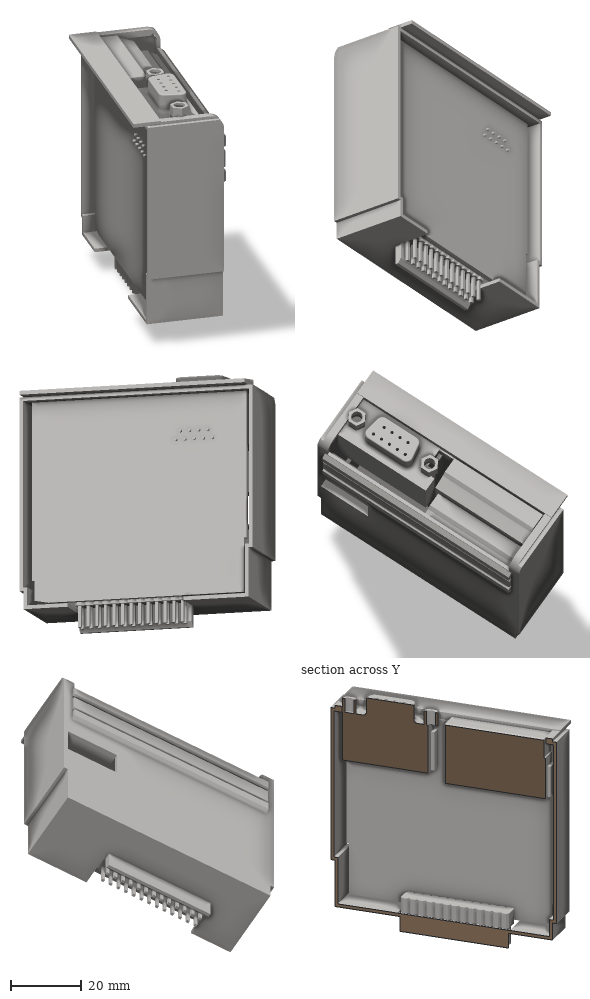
import cadquery as cq
import math


case_width = 69.2
case_depth = 22.5
wall = 1.1
back_wall = 1.0
side_top = 61.3
flange_top = 62.2
flange_bottom = side_top - wall
step_in = 1.2
left_step_z = 5.25
right_step_z = 14.3
outer_bend = 3.7
inner_bend = 1.9

half_width = case_width / 2
narrow_half = half_width - step_in

ledge_depth = 8.2
ledge_back = 18.3
ledge_thickness = 1.15
ledge_top = side_top + ledge_thickness

window_half_width = 31.1
window_bottom = 56.2

dimple_diameter = 1.15
dimple_depth = 1.3
dimple_y = -2.1
dimple_z = 60.25

rib_half_width = 32.0
rib_tall = 1.35
rib_low = 1.1
rib_middle_z = 48.0
rib_middle_height = 5.6
rib_outer_offset = 3.65
rib_outer_height = 4.2
rib_steep_bevel = 1.1
rib_soft_bevel = 0.3

slot_left = 17.2
slot_right = 33.35
slot_bottom = 24.7
slot_top = 33.5
boss_depth = 6.45
upper_boss_top = 38.0
lower_boss_bottom = 23.7
lower_boss_top = 24.2

board_back = 17.8
board_thickness = 1.6
board_half_width = 31.85
board_bottom = 2.1
board_notch = 0.8
board_left_step_z = 8.6
board_right_step_z = 17.7
board_corner_width = 4.0
board_corner_height = 0.8
board_front = board_back + board_thickness

terminal_bottom = 43.25
upper_left = -30.8
upper_right = -0.4
upper_top = 61.7
upper_back = 8.0
upper_flat_back = 12.9
lower_left = -window_half_width
lower_right = -1.4
lower_top = 55.9
lower_flat_back = 3.9
lip_run = 1.1
lip_drop = 0.9
slope_angle = 20.0
key_left = -32.05
key_top = 52.65
key_depth = 3.6

dsub_x = 16.4
dsub_back = 7.75
dsub_front = 15.7
dsub_top = 66.0
dsub_wide_half = 8.2
dsub_slant = 10.0
dsub_corner = 1.9
dsub_rim = 0.35
collar_flare = 1.0
rear_contacts = 5
front_contacts = 4
contact_pitch = 2.7
contact_diameter = 0.9
contact_depth = 3.6
rear_contact_y = -9.7
front_contact_y = -13.05

housing_top = 60.55
housing_bottom = 45.55
housing_front = ledge_back
housing_left = 1.1
housing_right = window_half_width
housing_back = 5.45
tab_front = 9.9
tab_left = 2.15
tab_step_front = 11.9
housing_front_left = 4.8
foot_left = 3.7
foot_back = 15.05
foot_top = 57.4

post_spacing = 24.95
post_positions = (dsub_x - post_spacing / 2, dsub_x + post_spacing / 2)
post_y = -11.6
post_top = 64.8
post_flats = 4.65
post_hole = 3.2

solder_lower_z = 47.2
solder_upper_z = 49.65
solder_diameter = 0.8
solder_length = 0.85

header_columns = 13
header_span = 30.5
header_pitch = header_span / (header_columns - 1)
header_x = -3.15
header_top = 5.75
header_base_bottom = 1.15
header_base_back = 12.8
header_column_chamfer = 0.65
tongue_thickness = 2.0
tongue_half_width = 16.7
tongue_bottom = -5.75
tongue_chamfer_run = 1.0
tongue_chamfer_rise = 1.5
header_pin_side = 0.85
header_pin_bottom = -5.0
header_pin_rows = (-14.05, -16.65)
header_gap = 0.5


def box(x0, x1, y0, y1, z0, z1):
    """Box between the given lower and upper limits along each axis."""
    return cq.Workplane("XY").box(x1 - x0, y1 - y0, z1 - z0, centered=False).translate((x0, y0, z0))


def prism_along_x(points, x0, x1):
    """Prism from x0 to x1 with the given (y, z) outline."""
    return cq.Workplane("YZ").workplane(offset=x0).polyline(points).close().extrude(x1 - x0)


def slab(points, back, front):
    """Plate with the given (x, z) outline, between two distances in front of the back face."""
    return cq.Workplane("XZ").workplane(offset=back).polyline(points).close().extrude(front - back)


def stepped_outline(inset, top):
    """Stepped front outline of the side and bottom walls, shrunk by inset."""
    wide = half_width - inset
    narrow = narrow_half - inset
    return [
        (-wide, top),
        (-wide, left_step_z + inset),
        (-narrow, left_step_z + inset),
        (-narrow, inset),
        (narrow, inset),
        (narrow, right_step_z + inset),
        (wide, right_step_z + inset),
        (wide, top),
    ]


def make_shell():
    """Open-fronted box with rounded bends where the back meets the top."""
    outside = slab(stepped_outline(0, side_top), 0, case_depth)
    outside = outside.union(box(-narrow_half, narrow_half, -case_depth, 0, side_top - wall, flange_top))
    bent_profile = box(-half_width, half_width, -case_depth, 0, 0, flange_top)
    outside = outside.intersect(bent_profile.edges("|X and >Y and >Z").fillet(outer_bend))
    cavity = slab(stepped_outline(wall, flange_bottom), back_wall, case_depth)
    return outside.cut(cavity.edges("|X and >Y and >Z").fillet(inner_bend))


def make_outer_rib(direction):
    """Tall grip rib above (+1) or below (-1) the middle one, steeper on its far side."""
    near = rib_middle_z + direction * rib_outer_offset
    far = near + direction * rib_outer_height
    points = [
        (0, near + direction * rib_soft_bevel),
        (rib_tall / 2, near),
        (rib_tall, near + direction * rib_soft_bevel),
        (rib_tall, far - direction * rib_steep_bevel),
        (0, far),
    ]
    return prism_along_x(points, -rib_half_width, rib_half_width)


def make_middle_rib():
    """Lower grip rib with small bevels on both sides."""
    bottom = rib_middle_z - rib_middle_height / 2
    top = rib_middle_z + rib_middle_height / 2
    points = [
        (0, bottom),
        (rib_low, bottom + rib_soft_bevel),
        (rib_low, top - rib_soft_bevel),
        (0, top),
    ]
    return prism_along_x(points, -rib_half_width, rib_half_width)


def make_tongue():
    """Keying tongue below the bottom wall, chamfered along its front lower edge."""
    front = -header_base_back
    back = front + tongue_thickness
    points = [
        (front, wall),
        (front, tongue_bottom + tongue_chamfer_rise),
        (front + tongue_chamfer_run, tongue_bottom),
        (back, tongue_bottom),
        (back, wall),
    ]
    return prism_along_x(points, header_x - tongue_half_width, header_x + tongue_half_width)


def make_casing():
    casing = make_shell()

    ledge_front = ledge_back + ledge_depth
    casing = casing.union(box(-narrow_half, narrow_half, -ledge_front, -ledge_back, side_top, ledge_top))

    casing = casing.cut(
        box(-window_half_width, window_half_width, -ledge_back, 0, window_bottom, flange_top)
    )

    dimples = (
        cq.Workplane("YZ")
        .center(dimple_y, dimple_z)
        .circle(dimple_diameter / 2)
        .extrude(window_half_width + dimple_depth, both=True)
    )
    casing = casing.cut(dimples)

    boss_right = half_width - wall
    for bottom, top in ((slot_top, upper_boss_top), (lower_boss_bottom, lower_boss_top)):
        casing = casing.union(box(slot_left, boss_right, -boss_depth, -back_wall, bottom, top))
    casing = casing.cut(box(slot_left, slot_right, -back_wall, 0, slot_bottom, slot_top))

    casing = casing.union(make_middle_rib())
    for direction in (1, -1):
        casing = casing.union(make_outer_rib(direction))

    opening_half = tongue_half_width + header_gap
    casing = casing.cut(
        box(header_x - opening_half, header_x + opening_half, -case_depth, -header_base_back, 0, wall)
    )
    casing = casing.union(make_tongue())

    return casing.cut(hex_prism(post_positions[1]))


def make_board():
    """Bare board with stepped sides and one sloped bottom corner."""
    narrow = board_half_width - board_notch
    points = [
        (-board_half_width, flange_bottom),
        (-board_half_width, board_left_step_z),
        (-narrow, board_left_step_z),
        (-narrow, board_bottom + board_corner_height),
        (-narrow + board_corner_width, board_bottom),
        (narrow, board_bottom),
        (narrow, board_right_step_z),
        (board_half_width, board_right_step_z),
        (board_half_width, flange_bottom),
    ]
    return slab(points, board_back, board_front)


def make_terminal(left, right, top, flat_back, back):
    """Terminal block: flat top, then a steep lip and a gentle slope falling toward the back."""
    slope_front = flat_back - lip_run
    slope_drop = (slope_front - back) * math.tan(math.radians(slope_angle))
    points = [
        (-board_back, terminal_bottom),
        (-board_back, top),
        (-flat_back, top),
        (-slope_front, top - lip_drop),
        (-back, top - lip_drop - slope_drop),
        (-back, terminal_bottom),
    ]
    return prism_along_x(points, left, right)


def make_terminals():
    upper = make_terminal(upper_left, upper_right, upper_top, upper_flat_back, upper_back)
    lower = make_terminal(lower_left, lower_right, lower_top, lower_flat_back, back_wall)
    key = box(key_left, lower_left, -board_back, key_depth - board_back, terminal_bottom, key_top)
    return upper.union(lower).union(key)


def make_dsub_shell():
    """D-shaped shell with rounded corners and a rounded rim."""
    wide = dsub_wide_half
    narrow = wide - (dsub_front - dsub_back) * math.tan(math.radians(dsub_slant))
    points = [
        (dsub_x - wide, -dsub_back),
        (dsub_x + wide, -dsub_back),
        (dsub_x + narrow, -dsub_front),
        (dsub_x - narrow, -dsub_front),
    ]
    outline = cq.Workplane("XY").workplane(offset=housing_top).polyline(points).close()
    shell = outline.extrude(dsub_top - housing_top)
    return shell.edges("|Z").fillet(dsub_corner).faces(">Z").edges().fillet(dsub_rim)


def make_dsub_housing():
    points = [
        (housing_left, -housing_back),
        (housing_left, -tab_front),
        (tab_left, -tab_front),
        (tab_left, -tab_step_front),
        (housing_front_left, -tab_step_front),
        (housing_front_left, -housing_front),
        (housing_right, -housing_front),
        (housing_right, -housing_back),
    ]
    outline = cq.Workplane("XY").workplane(offset=housing_bottom).polyline(points).close()
    housing = outline.extrude(housing_top - housing_bottom)
    return housing.union(
        box(foot_left, housing_front_left, -board_back, -foot_back, housing_bottom, foot_top)
    )


def hex_prism(x):
    """Solid six-sided body of a screw post, standing on the housing."""
    corner_diameter = post_flats / math.cos(math.pi / 6)
    return (
        cq.Workplane("XY", origin=(x, post_y, housing_top))
        .polygon(6, corner_diameter)
        .extrude(post_top - housing_top)
    )


def make_post(x):
    """Screw post with a bore through its full height."""
    return hex_prism(x).faces(">Z").workplane(origin=(x, post_y)).hole(post_hole)


def contact_row(count):
    """X positions of one centred row of D-sub contacts."""
    return [dsub_x + (i - (count - 1) / 2) * contact_pitch for i in range(count)]


def make_dsub():
    dsub = make_dsub_housing().union(make_dsub_shell())
    shell_foot = cq.selectors.BoxSelector(
        (dsub_x - dsub_wide_half, -dsub_front - dsub_rim, housing_top - dsub_rim),
        (dsub_x + dsub_wide_half, -dsub_back + dsub_rim, housing_top + dsub_rim),
    )
    dsub = dsub.edges(shell_foot).fillet(collar_flare)

    contacts = [(x, rear_contact_y) for x in contact_row(rear_contacts)]
    contacts += [(x, front_contact_y) for x in contact_row(front_contacts)]
    holes = (
        cq.Workplane("XY")
        .workplane(offset=dsub_top - contact_depth)
        .pushPoints(contacts)
        .circle(contact_diameter / 2)
        .extrude(contact_depth)
    )
    dsub = dsub.cut(holes)

    for x in post_positions:
        dsub = dsub.union(make_post(x))

    solder_points = [(x, solder_lower_z) for x in contact_row(rear_contacts)]
    solder_points += [(x, solder_upper_z) for x in contact_row(front_contacts)]
    solder_pins = (
        cq.Workplane("XZ")
        .workplane(offset=board_back)
        .pushPoints(solder_points)
        .circle(solder_diameter / 2)
        .extrude(board_thickness + solder_length)
    )
    return dsub.union(solder_pins)


def make_header():
    """Two rows of pins, each pair in an eight-sided column of the base."""
    header = cq.Workplane("XY")
    half_pitch = header_pitch / 2
    half_pin = header_pin_side / 2
    for i in range(header_columns):
        x = header_x + (i - (header_columns - 1) / 2) * header_pitch
        column = box(
            x - half_pitch, x + half_pitch, -board_back, -header_base_back, header_base_bottom, header_top
        )
        header = header.union(column.edges("|Z").chamfer(header_column_chamfer))
        for y in header_pin_rows:
            header = header.union(
                box(
                    x - half_pin, x + half_pin, y - half_pin, y + half_pin,
                    header_pin_bottom, header_base_bottom,
                )
            )
    return header


def make_board_assembly():
    return make_board().union(make_terminals()).union(make_dsub()).union(make_header())


casing = make_casing()
board_assembly = make_board_assembly()

result = cq.Compound.makeCompound([casing.val(), board_assembly.val()])